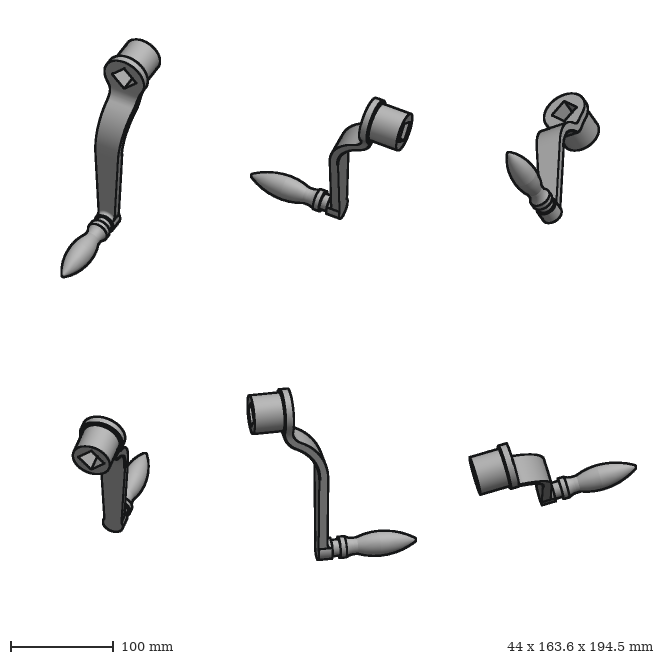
import cadquery as cq
import math

hub_radius = 22.0
thickness = 9.0
sleeve_radius = 19.0
sleeve_length = 29.4
square_diagonal = 26.8
edge_chamfer = 1.0

arm_offset = 35.8
bend_top = -15.5
bend_bottom = -73.7
upper_bend_radius = 14.5
half_width_at_hub = 16.0
side_taper = 0.0462
side_blend_radius = 30.7

handle_z = -160.2
boss_radius = 10.3
boss_length = 13.8
boss_fillet = 2.7
selection_gap = 0.2
neck_radius = 8.2
collar_radius = 10.5
grip_radius = 12.3
tip_radius = 2.3
collar_start = -48.6
collar_end = -54.6
waist_start = -62.6
waist_end = -66.5
grip_peak = -88.0
tip_start = -123.7
tip_end = -125.2

arm_back = thickness - arm_offset
boss_front = arm_back - boss_length


def cylinder_y(radius, y_start, y_end, z):
    """Cylinder along Y between two Y positions."""
    plane = cq.Workplane("XZ", origin=(0, y_start, z))
    return plane.circle(radius).extrude(y_start - y_end)


def side_profile():
    """Side shape of the plate: two tangent, concentric-faced bends between straight runs."""
    half_bend = math.atan2(arm_offset, bend_top - bend_bottom)
    bend_angle = 2 * half_bend
    lower_bend_radius = (bend_top - bend_bottom) / math.sin(bend_angle) - upper_bend_radius

    def upper_point(angle, depth):
        radius = upper_bend_radius + depth
        return (radius * math.cos(angle) - upper_bend_radius, bend_top - radius * math.sin(angle))

    def lower_point(angle, depth):
        radius = lower_bend_radius - depth
        return (-arm_offset + lower_bend_radius - radius * math.cos(angle),
                bend_bottom + radius * math.sin(angle))

    return (
        cq.Workplane("YZ")
        .moveTo(0, hub_radius)
        .lineTo(0, bend_top)
        .threePointArc(upper_point(half_bend, 0), upper_point(bend_angle, 0))
        .threePointArc(lower_point(half_bend, 0), lower_point(0, 0))
        .lineTo(-arm_offset, handle_z - boss_radius)
        .lineTo(arm_back, handle_z - boss_radius)
        .lineTo(*lower_point(0, thickness))
        .threePointArc(lower_point(half_bend, thickness), lower_point(bend_angle, thickness))
        .threePointArc(upper_point(half_bend, thickness), upper_point(0, thickness))
        .lineTo(thickness, hub_radius)
        .close()
        .extrude(hub_radius, both=True)
    )


def front_outline():
    """Front shape of the plate: round head blended into tapering sides."""
    slant = math.hypot(1, side_taper)
    centre_distance = hub_radius + side_blend_radius
    line_distance = half_width_at_hub / slant + side_blend_radius
    along_line = math.sqrt(centre_distance**2 - line_distance**2)
    centre_x = (line_distance - side_taper * along_line) / slant
    centre_z = (-side_taper * line_distance - along_line) / slant

    head_angle = math.atan2(-centre_z, -centre_x)
    line_angle = math.pi - math.atan(side_taper)
    middle_angle = (head_angle + line_angle) / 2

    def blend_point(angle, side):
        x = centre_x + side_blend_radius * math.cos(angle)
        return (side * x, centre_z + side_blend_radius * math.sin(angle))

    end_half_width = half_width_at_hub + side_taper * handle_z
    return (
        cq.Workplane("XZ", origin=(0, thickness, 0))
        .moveTo(*blend_point(head_angle, -1))
        .threePointArc((0, hub_radius), blend_point(head_angle, 1))
        .threePointArc(blend_point(middle_angle, 1), blend_point(line_angle, 1))
        .lineTo(end_half_width, handle_z)
        .lineTo(-end_half_width, handle_z)
        .lineTo(*blend_point(line_angle, -1))
        .threePointArc(blend_point(middle_angle, -1), blend_point(head_angle, -1))
        .close()
        .extrude(thickness + arm_offset)
    )


def level_arc_middle(level, other):
    """Middle of an arc, in (radius, Y), that runs parallel to the axis at its level end."""
    rise = other[0] - level[0]
    length = other[1] - level[1]
    arc_radius = (rise**2 + length**2) / (2 * abs(rise))
    half_angle = math.atan2(abs(rise), abs(length))
    middle_rise = math.copysign(arc_radius * (1 - math.cos(half_angle)), rise)
    middle_length = math.copysign(arc_radius * math.sin(half_angle), length)
    return (level[0] + middle_rise, level[1] + middle_length)


def handle():
    """Turned neck, collar, waist and pointed grip with a rounded tip."""
    collar_edge = (collar_radius, collar_end)
    waist_top = (neck_radius, waist_start)
    waist_bottom = (neck_radius, waist_end)
    peak = (grip_radius, grip_peak)
    tip_edge = (tip_radius, tip_start)
    tip = (0, tip_end)
    tip_middle = level_arc_middle(tip[::-1], tip_edge[::-1])[::-1]
    return (
        cq.Workplane("XY", origin=(0, 0, handle_z))
        .moveTo(0, boss_front)
        .lineTo(neck_radius, boss_front)
        .lineTo(neck_radius, collar_start)
        .lineTo(collar_radius, collar_start)
        .lineTo(*collar_edge)
        .threePointArc(level_arc_middle(waist_top, collar_edge), waist_top)
        .lineTo(*waist_bottom)
        .threePointArc(level_arc_middle(peak, waist_bottom), peak)
        .threePointArc(level_arc_middle(peak, tip_edge), tip_edge)
        .threePointArc(tip_middle, tip)
        .close()
        .revolve(360, (0, 0, 0), (0, 1, 0))
    )


plate = side_profile().intersect(front_outline())
bevelled_plate = plate.faces(">Y").edges("not(|X)").chamfer(edge_chamfer)
lower_block = (
    cq.Workplane("XY", origin=(0, 0, bend_bottom))
    .rect(2 * hub_radius, 2 * (arm_offset + thickness))
    .extrude(2 * handle_z)
)
straight_part = plate.intersect(lower_block)
plate = bevelled_plate.union(straight_part)

arm = plate.union(cylinder_y(boss_radius, arm_back, boss_front, handle_z))
face_box = cq.selectors.BoxSelector(
    (-boss_radius, -arm_offset - selection_gap, handle_z + selection_gap),
    (boss_radius, -arm_offset + selection_gap, handle_z + 2 * boss_radius),
    boundingbox=True,
)
arm = arm.edges(face_box).fillet(boss_fillet)

sleeve = cylinder_y(sleeve_radius, thickness + sleeve_length, 0, 0)
square_hole = (
    cq.Workplane("XZ", origin=(0, thickness + sleeve_length, 0))
    .polygon(4, square_diagonal)
    .extrude(thickness + sleeve_length)
)

result = arm.union(sleeve).cut(square_hole).union(handle())